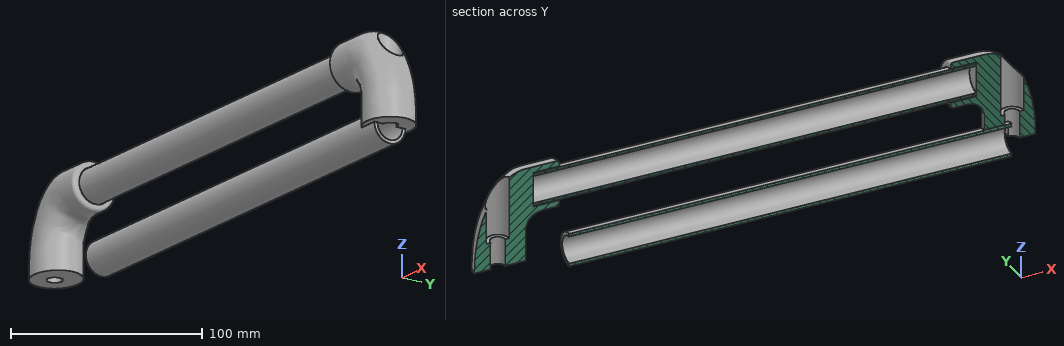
import cadquery as cq
import math

handle_length = 327.5
axis_height = 42.0

tube_diameter = 20.0
tube_bore = 16.0
tube_length = 258.0
lower_tube_start = 55.5
lower_tube_height = 0.0

collar_diameter = 28.0
collar_end = 49.8
collar_fillet = 2.0
socket_diameter = 20.3

foot_length = 30.0
inner_bend_radius = 9.5
outer_bend_base = 2.0
bend_steps = 6

screw_inset = 13.8
screw_diameter = 8.5
counterbore_diameter = 13.0
counterbore_floor = 16.5

collar_radius = collar_diameter / 2
top_height = axis_height + collar_radius
outer_bend_height = top_height - outer_bend_base
inner_bend_x = foot_length + inner_bend_radius
inner_bend_z = axis_height - collar_radius - inner_bend_radius
socket_depth = (tube_length - (handle_length - 2 * collar_end)) / 2
upper_tube_start = collar_end - socket_depth


def rod(diameter, start_x, height):
    """Solid cylinder along X, one tube length long."""
    return cq.Workplane("YZ", origin=(start_x, 0, height)).circle(diameter / 2).extrude(tube_length)


def tube(start_x, height):
    """Hollow tube along X."""
    return rod(tube_diameter, start_x, height).cut(rod(tube_bore, start_x, height))


def elbow_section(inner_point, outer_point):
    """Elliptical section spanning two points of the XZ plane, as wide in Y as the collar."""
    inner = cq.Vector(inner_point[0], 0, inner_point[1])
    outer = cq.Vector(outer_point[0], 0, outer_point[1])
    across = outer - inner
    centre = (inner + outer) * 0.5
    normal = across.cross(cq.Vector(0, 1, 0))
    long_half = max(across.Length / 2, collar_radius)
    edge = cq.Edge.makeEllipse(long_half, collar_radius, centre, normal, xdir=across)
    return cq.Wire.assembleEdges([edge])


def bend_section(turn):
    """Section of the bend after turning from the collar (0) toward the foot (pi / 2)."""
    inner_point = (
        inner_bend_x - inner_bend_radius * math.sin(turn),
        inner_bend_z + inner_bend_radius * math.cos(turn),
    )
    outer_point = (
        foot_length * (1 - math.sin(turn)),
        outer_bend_base + outer_bend_height * math.cos(turn),
    )
    return elbow_section(inner_point, outer_point)


def elbow_body():
    """Left elbow without holes: straight collar, bend, straight leg."""
    bend = [bend_section(math.pi / 2 * step / bend_steps) for step in range(bend_steps + 1)]
    collar_face = elbow_section((collar_end, axis_height - collar_radius), (collar_end, top_height))
    foot = elbow_section((foot_length, 0), (0, 0))
    collar = cq.Workplane(cq.Solid.makeLoft([collar_face, bend[0]], True))
    middle = cq.Workplane(cq.Solid.makeLoft(bend))
    leg = cq.Workplane(cq.Solid.makeLoft([bend[-1], foot], True))
    collar = collar.faces(">X").edges().fillet(collar_fillet)
    return collar.union(middle).union(leg)


def screw_hole():
    """Vertical through hole with a counterbore open at the top."""
    shank = cq.Workplane("XY", origin=(screw_inset, 0, 0)).circle(screw_diameter / 2).extrude(top_height)
    head = (
        cq.Workplane("XY", origin=(screw_inset, 0, counterbore_floor))
        .circle(counterbore_diameter / 2)
        .extrude(top_height - counterbore_floor)
    )
    return shank.union(head)


upper_tube = tube(upper_tube_start, axis_height)
lower_tube = tube(lower_tube_start, lower_tube_height)

socket = rod(socket_diameter, upper_tube_start, axis_height)
left_elbow = elbow_body().cut(screw_hole()).cut(socket)
lower_tube_recess = rod(tube_diameter, lower_tube_start, lower_tube_height)
right_elbow = left_elbow.mirror("YZ").translate((handle_length, 0, 0)).cut(lower_tube_recess)

result = cq.Compound.makeCompound(
    [left_elbow.val(), right_elbow.val(), upper_tube.val(), lower_tube.val()]
)